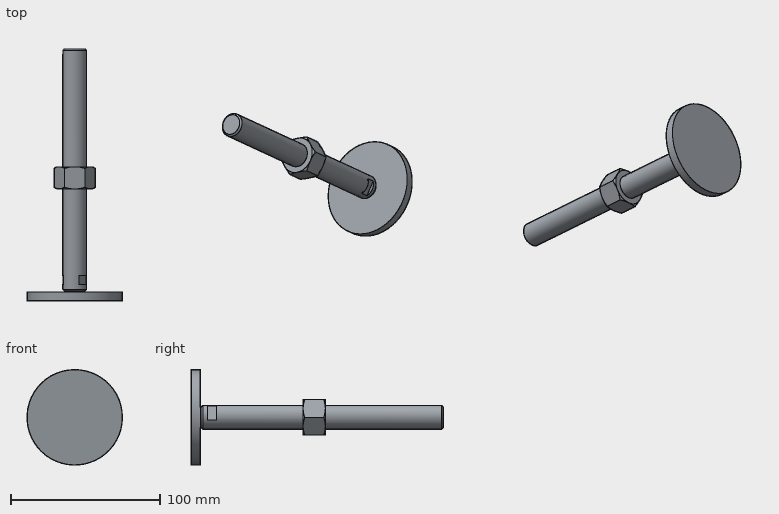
import cadquery as cq
import math

TOTAL_LENGTH = 169.0

PLATE_DIAMETER = 64.0
PLATE_THICKNESS = 6.0

ROD_DIAMETER = 16.0
ROD_CHAMFER = 1.2
NECK_LENGTH = 0.5

FLATS_WIDTH = 12.0
FLATS_START = 11.0
FLATS_LENGTH = 6.0
FLATS_ANGLE = 28.0

NUT_ACROSS_FLATS = 24.0
NUT_THICKNESS = 14.9
NUT_START = 75.0
NUT_CHAMFER_ANGLE = 30.0

rod_radius = ROD_DIAMETER / 2
nut_corner_radius = NUT_ACROSS_FLATS / 2 / math.cos(math.radians(30))


def plane_at(y):
    """Plane across the axis at height y, with local X = X, local Y = -Z and normal +Y."""
    return cq.Plane(origin=(0, y, 0), xDir=(1, 0, 0), normal=(0, 1, 0))


def revolve_about_axis(profile_points):
    """Turn a closed (radius, height) profile about the Y axis."""
    return cq.Workplane("XY").polyline(profile_points).close().revolve(360, (0, 0, 0), (0, 1, 0))


def make_plate():
    return cq.Workplane(plane_at(0)).circle(PLATE_DIAMETER / 2).extrude(PLATE_THICKNESS)


def make_wrench_flat_cutter():
    """Two blocks that leave the flats' width standing between them."""
    offset = FLATS_WIDTH / 2 + rod_radius / 2
    return (
        cq.Workplane(plane_at(FLATS_START))
        .pushPoints([(-offset, 0), (offset, 0)])
        .rect(rod_radius, 2 * ROD_DIAMETER)
        .extrude(FLATS_LENGTH)
        .rotate((0, 0, 0), (0, 1, 0), -FLATS_ANGLE)
    )


def make_rod():
    """Stud standing on the plate, with a short neck, chamfered ends and two wrench flats."""
    end_radius = rod_radius - ROD_CHAMFER
    shoulder = PLATE_THICKNESS + NECK_LENGTH
    rod = revolve_about_axis([
        (0, PLATE_THICKNESS),
        (end_radius, PLATE_THICKNESS),
        (end_radius, shoulder),
        (rod_radius, shoulder + ROD_CHAMFER),
        (rod_radius, TOTAL_LENGTH - ROD_CHAMFER),
        (end_radius, TOTAL_LENGTH),
        (0, TOTAL_LENGTH),
    ])
    return rod.cut(make_wrench_flat_cutter())


def make_nut():
    """Hexagon nut with corners on the X axis and conical chamfers on both faces."""
    hexagon = (
        cq.Workplane(plane_at(NUT_START))
        .polygon(6, 2 * nut_corner_radius)
        .circle(rod_radius)
        .extrude(NUT_THICKNESS)
    )
    nut_end = NUT_START + NUT_THICKNESS
    face_radius = NUT_ACROSS_FLATS / 2
    corner_drop = (nut_corner_radius - face_radius) * math.tan(math.radians(NUT_CHAMFER_ANGLE))
    chamfer_envelope = revolve_about_axis([
        (0, NUT_START),
        (face_radius, NUT_START),
        (nut_corner_radius, NUT_START + corner_drop),
        (nut_corner_radius, nut_end - corner_drop),
        (face_radius, nut_end),
        (0, nut_end),
    ])
    return hexagon.intersect(chamfer_envelope)


plate = make_plate()
rod = make_rod()
nut = make_nut()

result = cq.Compound.makeCompound([plate.val(), *rod.solids().vals(), *nut.solids().vals()])